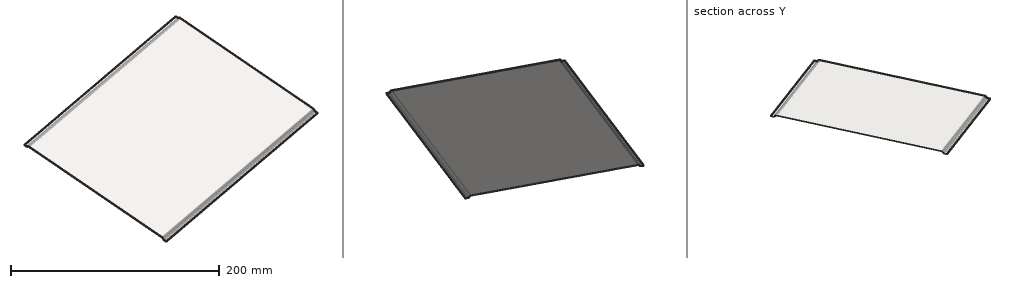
import cadquery as cq
import math

length = 218.0
width = 183.0
thickness = 1.0
step_height = 2 * thickness

flange_flat = 2.6
inner_radius = 0.76
outer_radius = inner_radius + thickness
bend_angle = math.radians(45)

half_width = width / 2
bend_start = half_width - flange_flat
bends_rise = (inner_radius + outer_radius) * (1 - math.cos(bend_angle))
bends_run = (inner_radius + outer_radius) * math.sin(bend_angle)
slope_run = (step_height - bends_rise) / math.tan(bend_angle)
bend_end = bend_start - bends_run - slope_run


def arc_point(center_x, center_z, radius, angle):
    """Point on a bend, with the angle measured from straight up toward +X."""
    return (center_x + radius * math.sin(angle), center_z + radius * math.cos(angle))


def lower_bend(radius, turn):
    """Point on the bend next to the right flange, after turning up from it."""
    return arc_point(bend_start, outer_radius, radius, math.pi + turn)


def upper_bend(radius, turn):
    """Point on the bend next to the right side of the panel, after turning down from it."""
    return arc_point(bend_end, step_height - inner_radius, radius, turn)


half_turn = bend_angle / 2
panel_top = step_height + thickness

right_half = (
    cq.Workplane("XZ", origin=(0, length / 2, 0))
    .moveTo(0, step_height)
    .lineTo(bend_end, step_height)
    .threePointArc(upper_bend(inner_radius, half_turn), upper_bend(inner_radius, bend_angle))
    .lineTo(*lower_bend(outer_radius, bend_angle))
    .threePointArc(lower_bend(outer_radius, half_turn), (bend_start, 0))
    .lineTo(half_width, 0)
    .lineTo(half_width, thickness)
    .lineTo(bend_start, thickness)
    .threePointArc(lower_bend(inner_radius, half_turn), lower_bend(inner_radius, bend_angle))
    .lineTo(*upper_bend(outer_radius, bend_angle))
    .threePointArc(upper_bend(outer_radius, half_turn), (bend_end, panel_top))
    .lineTo(0, panel_top)
    .close()
    .extrude(length)
)

result = right_half.union(right_half.mirror("YZ")).clean()